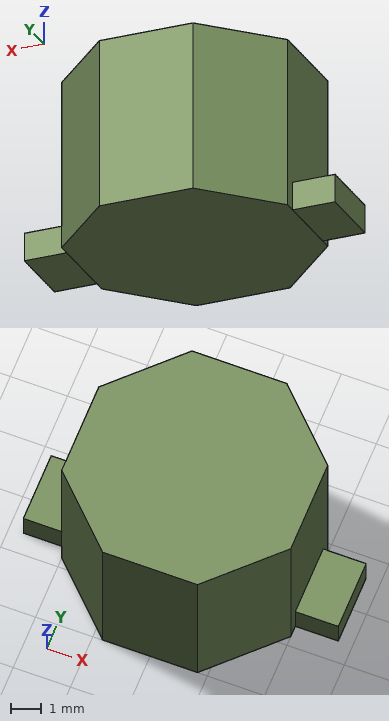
import cadquery as cq
import math

overall_length = 11.0
housing_width = 8.0
housing_height = 6.0
terminal_width = 2.5
terminal_height = 1.0

octagon_sides = 8
corner_diameter = housing_width / math.cos(math.pi / octagon_sides)
terminal_length = (overall_length - housing_width) / 2
terminal_center_x = (housing_width + terminal_length) / 2


def make_housing():
    """Regular octagonal prism standing on Z = 0, with flats facing X and Y."""
    half_side_angle = 180 / octagon_sides
    return (
        cq.Workplane("XY")
        .transformed(rotate=(0, 0, half_side_angle))
        .polygon(octagon_sides, corner_diameter)
        .extrude(housing_height)
    )


def make_terminal(side):
    """Flat terminal block against the housing; side is -1 or +1 along X."""
    return (
        cq.Workplane("XY")
        .center(side * terminal_center_x, 0)
        .rect(terminal_length, terminal_width)
        .extrude(terminal_height)
    )


housing = make_housing()
terminals = [make_terminal(side) for side in (-1, 1)]

result = cq.Compound.makeCompound([housing.val(), *[terminal.val() for terminal in terminals]])